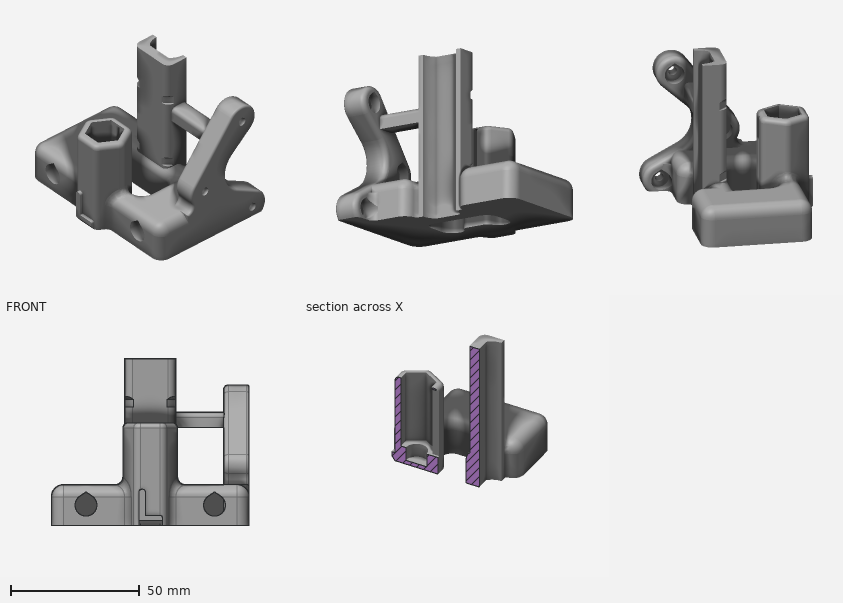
import math

import cadquery as cq

BASE_WIDTH = 77.0
BASE_DEPTH = 44.0
BASE_HEIGHT = 16.0
BASE_ROUND = 4.75
NOTCH_HALF_WIDTH = 11.3
NOTCH_FLOOR_Y = 37.45
NOTCH_CORNER_ROUND = 3.5
WINDOW_HALF_WIDTH = 15.75
WINDOW_FRONT_Y = 10.0
WINDOW_BACK_Y = 27.0

ROD_HOLE_RADIUS = 4.25
ROD_HOLE_DEPTH = 40.0
ROD_HOLE_X = 25.0
ROD_HOLE_Z = 8.0
TEARDROP_PEAK_RATIO = 1.21

TOWER_Y = 5.0
TOWER_FLATS = 19.3
TOWER_HEIGHT = 40.0
TOWER_EDGE_ROUND = 3.0
TOWER_RIM_ROUND = 2.0
TOWER_ROOT_ROUND = 3.0
SOCKET_FLATS = 13.6
SOCKET_FLOOR_Z = 8.0
TOWER_BORE_RADIUS = 4.55
TOWER_BORE_FLOOR_Z = 2.0
TOWER_SLOT_WIDTH = 1.8
TOWER_SLOT_TOP_Z = 39.0

RIB_FRONT_Y = -6.08
RIB_LEFT_X = -4.4
RIB_RIGHT_X = 4.7
RIB_STEM_WIDTH = 2.5
RIB_TOP_Z = 14.2
RIB_FOOT_TOP_Z = 4.0
RIB_FOOT_CHAMFER_HEIGHT = 2.0
RIB_FOOT_ROUND = 0.8
RIB_STEM_ROUND = 1.1

CHANNEL_WIDTH = 20.0
CHANNEL_FRONT_Y = 28.65
CHANNEL_BACK_Y = 38.6
CHANNEL_HEIGHT = 65.0
CHANNEL_EDGE_ROUND = 3.0
CRADLE_RADIUS = 7.85
CRADLE_FLOOR_Y = 33.05
TIE_GROOVE_SETBACK = 3.4
TIE_GROOVE_HEIGHT = 3.0
TIE_GROOVE_BOTTOMS_Z = (16.4, 46.1)

PLATE_THICKNESS = 10.0
PLATE_END_RADIUS = 7.0
PLATE_INNER_ROUND = 2.0
PLATE_OUTER_ROUND = 1.0
PLATE_FOOT_ROUND = 3.0
PLATE_ROOT_ROUND = 3.0
MOTOR_HOLE_SPACING = 31.0
MOTOR_TILT = math.radians(52.0)
MIDDLE_SCREW_Y = 23.25
MIDDLE_SCREW_Z = 23.4
MOTOR_BITE_RADIUS = 11.0
SCREW_HOLE_RADIUS = 1.7
SCREW_HEAD_RADIUS = 3.9
SCREW_HEAD_DEPTH = 4.2

BEAM_FRONT_Y = 30.8
BEAM_BOTTOM_Z = 38.2
BEAM_TOP_Z = 44.2
BEAM_ROUND = 2.0

PLATE_OUTER_X = BASE_WIDTH / 2
PLATE_INNER_X = PLATE_OUTER_X - PLATE_THICKNESS

MARGIN = 0.1


def block(x0, x1, y0, y1, z0, z1):
    """Box between two opposite corners."""
    return cq.Workplane("XY").box(x1 - x0, y1 - y0, z1 - z0, centered=False).translate((x0, y0, z0))


def hexagon(flats, z0, z1):
    """Hexagonal prism about the tower axis, with flats facing +Y and -Y."""
    corner_circle = flats / math.cos(math.pi / 6)
    return cq.Workplane("XY", origin=(0, TOWER_Y, z0)).polygon(6, corner_circle).extrude(z1 - z0)


def teardrop(workplane, u, v, radius, depth):
    """Hole whose roof is a peak formed by two lines tangent to the circle."""
    half_angle = math.acos(1 / TEARDROP_PEAK_RATIO)
    side_u = radius * math.sin(half_angle)
    side_v = radius * math.cos(half_angle)
    return (
        workplane.moveTo(u - side_u, v + side_v)
        .threePointArc((u, v - radius), (u + side_u, v + side_v))
        .lineTo(u, v + radius * TEARDROP_PEAK_RATIO)
        .close()
        .extrude(depth)
    )


def near(x, y):
    """Selector box around a vertical edge of the base at the given place."""
    return cq.selectors.BoxSelector(
        (x - MARGIN, y - MARGIN, 0), (x + MARGIN, y + MARGIN, BASE_HEIGHT)
    )


def make_base():
    """Block with a notch in its back and a window, rounded on all upper edges."""
    half = BASE_WIDTH / 2
    base = block(-half, half, 0, BASE_DEPTH, 0, BASE_HEIGHT)
    notch = block(-NOTCH_HALF_WIDTH, NOTCH_HALF_WIDTH, NOTCH_FLOOR_Y, BASE_DEPTH, 0, BASE_HEIGHT)
    window = block(
        -WINDOW_HALF_WIDTH, WINDOW_HALF_WIDTH, WINDOW_FRONT_Y, WINDOW_BACK_Y, 0, BASE_HEIGHT
    )
    base = base.cut(notch).cut(window)
    for side in (-1, 1):
        for x, y in (
            (half, 0),
            (half, BASE_DEPTH),
            (NOTCH_HALF_WIDTH, BASE_DEPTH),
            (WINDOW_HALF_WIDTH, WINDOW_FRONT_Y),
        ):
            base = base.edges(near(side * x, y)).fillet(BASE_ROUND)
    base = base.faces(">Z").edges().fillet(BASE_ROUND)
    for side in (-1, 1):
        base = base.edges(near(side * WINDOW_HALF_WIDTH, WINDOW_BACK_Y)).fillet(BASE_ROUND)
        base = base.edges(near(side * NOTCH_HALF_WIDTH, NOTCH_FLOOR_Y)).fillet(NOTCH_CORNER_ROUND)
    return base


def make_tower():
    """Solid hexagonal tower with rounded corners and rim."""
    tower = hexagon(TOWER_FLATS, 0, TOWER_HEIGHT)
    tower = tower.edges("|Z").fillet(TOWER_EDGE_ROUND)
    return tower.faces(">Z").edges().fillet(TOWER_RIM_ROUND)


def make_base_with_tower():
    """Base and tower joined, with a concave round where the tower meets the base."""
    body = make_base().union(make_tower())
    corner_x = TOWER_FLATS / math.sqrt(3)
    inner_x = corner_x - TOWER_Y / math.sqrt(3) - MARGIN
    rounded_corner_x = corner_x - TOWER_EDGE_ROUND * (2 / math.sqrt(3) - 1)
    outer_x = rounded_corner_x + MARGIN
    for side in (-1, 1):
        root = cq.selectors.BoxSelector(
            (min(side * inner_x, side * outer_x), -MARGIN, -MARGIN),
            (max(side * inner_x, side * outer_x), 2 * TOWER_Y + MARGIN, BASE_HEIGHT + MARGIN),
            boundingbox=True,
        )
        body = body.edges(root).fillet(TOWER_ROOT_ROUND)
    return body


def make_tower_rib():
    """L-shaped rib standing off the front of the tower, with a sloped underside."""
    tower_front_y = TOWER_Y - TOWER_FLATS / 2
    foot = block(RIB_LEFT_X, RIB_RIGHT_X, RIB_FRONT_Y, tower_front_y, 0, RIB_FOOT_TOP_Z)
    foot = foot.edges("|Y and >X and >Z").fillet(RIB_FOOT_ROUND)
    stem = block(
        RIB_LEFT_X, RIB_LEFT_X + RIB_STEM_WIDTH, RIB_FRONT_Y, tower_front_y, 0, RIB_TOP_Z
    )
    stem = stem.edges("|Y and >Z").fillet(RIB_STEM_ROUND)
    rib = foot.union(stem)
    relief = (
        cq.Workplane("YZ", origin=(RIB_LEFT_X, 0, 0))
        .moveTo(RIB_FRONT_Y, 0)
        .lineTo(tower_front_y, 0)
        .lineTo(RIB_FRONT_Y, RIB_FOOT_CHAMFER_HEIGHT)
        .close()
        .extrude(RIB_RIGHT_X - RIB_LEFT_X)
    )
    return rib.cut(relief)


def cut_tower_interior(body):
    """Hexagonal socket with a round bore in its floor and a slot in its back wall."""
    socket = hexagon(SOCKET_FLATS, SOCKET_FLOOR_Z, TOWER_HEIGHT)
    bore = (
        cq.Workplane("XY", origin=(0, TOWER_Y, TOWER_BORE_FLOOR_Z))
        .circle(TOWER_BORE_RADIUS)
        .extrude(SOCKET_FLOOR_Z - TOWER_BORE_FLOOR_Z)
    )
    slot = block(
        -TOWER_SLOT_WIDTH / 2,
        TOWER_SLOT_WIDTH / 2,
        TOWER_Y,
        TOWER_Y + TOWER_FLATS / 2,
        SOCKET_FLOOR_Z,
        TOWER_SLOT_TOP_Z,
    )
    return body.cut(socket).cut(bore).cut(slot)


def cut_rod_holes(body):
    """Two blind teardrop holes running back from the front face of the base."""
    for side in (-1, 1):
        x = side * ROD_HOLE_X
        hole = teardrop(cq.Workplane("XZ"), x, ROD_HOLE_Z, ROD_HOLE_RADIUS, -ROD_HOLE_DEPTH)
        body = body.cut(hole)
    return body


def make_channel():
    """Upright bar with rounded front corners."""
    half = CHANNEL_WIDTH / 2
    bar = block(-half, half, CHANNEL_FRONT_Y, CHANNEL_BACK_Y, 0, CHANNEL_HEIGHT)
    return bar.edges("|Z and <Y").fillet(CHANNEL_EDGE_ROUND)


def cut_cradle(body):
    """Flat-bottomed round trough along the back of the channel, for the bearing."""
    axis = cq.Workplane("XY", origin=(0, CHANNEL_BACK_Y, 0))
    trough = axis.circle(CRADLE_RADIUS).extrude(CHANNEL_HEIGHT)
    behind_floor = block(
        -CRADLE_RADIUS,
        CRADLE_RADIUS,
        CRADLE_FLOOR_Y,
        CHANNEL_BACK_Y + CRADLE_RADIUS,
        0,
        CHANNEL_HEIGHT,
    )
    return body.cut(trough.intersect(behind_floor))


def cut_tie_grooves(body):
    """Cable-tie grooves across the front corners of the channel, each with a sloped roof."""
    depth = TIE_GROOVE_SETBACK / math.sqrt(2)
    for side in (-1, 1):
        corner = (side * CHANNEL_WIDTH / 2, CHANNEL_FRONT_Y, 0)
        inward = cq.Plane(origin=corner, xDir=(-side, 1, 0), normal=(1, side, 0))
        for bottom in TIE_GROOVE_BOTTOMS_Z:
            top = bottom + TIE_GROOVE_HEIGHT
            groove = (
                cq.Workplane(inward)
                .moveTo(0, bottom)
                .lineTo(depth, bottom)
                .lineTo(depth, top)
                .lineTo(0, (top + depth))
                .close()
                .extrude(CHANNEL_WIDTH / 4, both=True)
            )
            body = body.cut(groove)
    return body


def make_beam():
    """Horizontal beam from the channel to the motor plate, rounded along its top."""
    beam = block(
        CHANNEL_WIDTH / 2,
        PLATE_INNER_X + PLATE_INNER_ROUND,
        BEAM_FRONT_Y,
        CHANNEL_BACK_Y,
        BEAM_BOTTOM_Z,
        BEAM_TOP_Z,
    )
    return beam.edges("|X and >Z").fillet(BEAM_ROUND)


def motor_points():
    """Screw positions (upper, middle, lower) and the motor axis, as (y, z)."""
    step_y = MOTOR_HOLE_SPACING * math.cos(MOTOR_TILT)
    step_z = MOTOR_HOLE_SPACING * math.sin(MOTOR_TILT)
    middle = (MIDDLE_SCREW_Y, MIDDLE_SCREW_Z)
    upper = (MIDDLE_SCREW_Y + step_y, MIDDLE_SCREW_Z + step_z)
    lower = (MIDDLE_SCREW_Y + step_z, MIDDLE_SCREW_Z - step_y)
    axis = ((upper[0] + lower[0]) / 2, (upper[1] + lower[1]) / 2)
    return upper, middle, lower, axis


def on_circle(centre, radius, angle):
    """Point of a circle at the given angle from +Y towards +Z."""
    return (centre[0] + radius * math.cos(angle), centre[1] + radius * math.sin(angle))


def rim_selector(x):
    """Selector for the plate edges at one face, leaving out those on the ground."""
    return cq.selectors.BoxSelector(
        (x - MARGIN, 0, MARGIN), (x + MARGIN, 2 * BASE_DEPTH, CHANNEL_HEIGHT)
    )


def make_motor_plate():
    """Plate with rounded ends at three screws and a round bite for the motor boss."""
    upper, middle, lower, axis = motor_points()
    radius = PLATE_END_RADIUS

    foot_z = BASE_HEIGHT + PLATE_FOOT_ROUND
    reach = radius + PLATE_FOOT_ROUND
    foot_y = middle[0] - math.sqrt(reach**2 - (middle[1] - foot_z) ** 2)
    foot = (foot_y, foot_z)
    foot_angle = math.atan2(middle[1] - foot_z, middle[0] - foot_y)
    foot_end = on_circle(foot, PLATE_FOOT_ROUND, foot_angle)
    foot_mid = on_circle(foot, PLATE_FOOT_ROUND, (foot_angle - math.pi / 2) / 2)

    outward = MOTOR_TILT + math.pi / 2
    middle_mid = on_circle(middle, radius, (outward + math.pi + foot_angle) / 2)

    axis_distance = MOTOR_HOLE_SPACING / math.sqrt(2)
    swing = math.acos((radius + MOTOR_BITE_RADIUS) / axis_distance)
    upper_normal = MOTOR_TILT - 3 * math.pi / 4 + swing
    lower_normal = MOTOR_TILT + math.pi / 4 - swing
    upper_inner = on_circle(upper, radius, upper_normal)
    lower_inner = on_circle(lower, radius, lower_normal)
    upper_bite = on_circle(axis, -MOTOR_BITE_RADIUS, upper_normal)
    lower_bite = on_circle(axis, -MOTOR_BITE_RADIUS, lower_normal)
    bite_mid = on_circle(axis, -MOTOR_BITE_RADIUS, (upper_normal + lower_normal) / 2)
    lower_end = (lower[0] + math.sqrt(radius**2 - lower[1] ** 2), 0)

    plate = (
        cq.Workplane("YZ", origin=(PLATE_INNER_X, 0, 0))
        .moveTo(foot_y, 0)
        .lineTo(foot_y, BASE_HEIGHT)
        .threePointArc(foot_mid, foot_end)
        .threePointArc(middle_mid, on_circle(middle, radius, outward))
        .lineTo(*on_circle(upper, radius, outward))
        .threePointArc(on_circle(upper, radius, (outward + upper_normal) / 2), upper_inner)
        .lineTo(*upper_bite)
        .threePointArc(bite_mid, lower_bite)
        .lineTo(*lower_inner)
        .threePointArc(on_circle(lower, radius, 0), lower_end)
        .close()
        .extrude(PLATE_THICKNESS)
    )
    plate = plate.edges(rim_selector(PLATE_INNER_X)).fillet(PLATE_INNER_ROUND)
    return plate.edges(rim_selector(PLATE_OUTER_X)).fillet(PLATE_OUTER_ROUND)


def make_plate_root():
    """Concave web in the corner between the plate and the back of the base."""
    return (
        cq.Workplane("XY")
        .moveTo(PLATE_INNER_X - PLATE_ROOT_ROUND, BASE_DEPTH)
        .radiusArc((PLATE_INNER_X, BASE_DEPTH + PLATE_ROOT_ROUND), -PLATE_ROOT_ROUND)
        .lineTo(PLATE_INNER_X + PLATE_INNER_ROUND, BASE_DEPTH + PLATE_ROOT_ROUND)
        .lineTo(PLATE_INNER_X + PLATE_INNER_ROUND, BASE_DEPTH - PLATE_INNER_ROUND)
        .lineTo(PLATE_INNER_X - PLATE_ROOT_ROUND, BASE_DEPTH - PLATE_INNER_ROUND)
        .close()
        .extrude(BASE_HEIGHT - BASE_ROUND)
    )


def cut_screw_holes(body):
    """Through holes for the three motor screws, with head recesses sunk from the -X side."""
    recess_x = PLATE_INNER_X - PLATE_ROOT_ROUND
    recess_depth = PLATE_ROOT_ROUND + SCREW_HEAD_DEPTH
    shank_plane = cq.Workplane("YZ", origin=(PLATE_INNER_X, 0, 0))
    recess_plane = cq.Workplane("YZ", origin=(recess_x, 0, 0))
    for y, z in motor_points()[:3]:
        body = body.cut(teardrop(shank_plane, y, z, SCREW_HOLE_RADIUS, PLATE_THICKNESS))
        body = body.cut(teardrop(recess_plane, y, z, SCREW_HEAD_RADIUS, recess_depth))
    return body


body = make_base_with_tower().union(make_tower_rib())
body = body.union(cut_tie_grooves(make_channel()))
body = cut_cradle(body)
body = cut_rod_holes(body)
body = body.union(make_motor_plate())
body = body.union(make_plate_root()).union(make_beam())
body = cut_screw_holes(body)
result = cut_tower_interior(body)